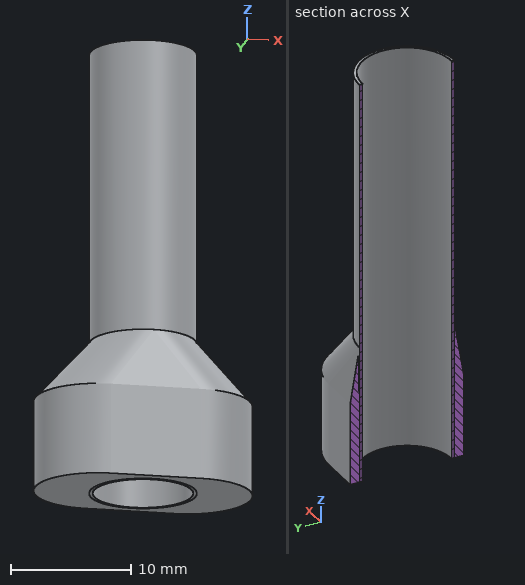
import cadquery as cq

total_length = 38.0
sleeve_outer_radius = 4.5
sleeve_wall = 0.3
sleeve_inner_radius = sleeve_outer_radius - sleeve_wall

collar_length = 18.4
collar_width = 10.7
skirt_height = 7.75
taper_height = 5.15
collar_height = skirt_height + taper_height
end_radius = collar_width / 2
end_offset = (collar_length - collar_width) / 2


def half_circle(side, center_x, radius, z):
    """Semicircle bulging toward +X (side = 1) or -X (side = -1)."""
    return cq.Edge.makeThreePointArc(
        cq.Vector(center_x, -radius, z),
        cq.Vector(center_x + side * radius, 0, z),
        cq.Vector(center_x, radius, z),
    )


def make_sleeve():
    """Plain tube running the full length, open at both ends."""
    return (
        cq.Workplane("XY")
        .circle(sleeve_outer_radius)
        .circle(sleeve_inner_radius)
        .extrude(total_length)
    )


def taper_end(side):
    """Ruled face from one rounded end of the skirt to half of the sleeve circle."""
    lower_arc = half_circle(side, side * end_offset, end_radius, skirt_height)
    upper_arc = half_circle(side, 0, sleeve_outer_radius, collar_height)
    return cq.Face.makeRuledSurface(lower_arc, upper_arc)


def taper_flat(side):
    """Triangular face from one flat side of the skirt to a point on the sleeve."""
    corners = [
        cq.Vector(-end_offset, side * end_radius, skirt_height),
        cq.Vector(end_offset, side * end_radius, skirt_height),
        cq.Vector(0, side * sleeve_outer_radius, collar_height),
    ]
    return cq.Face.makeFromWires(cq.Wire.makePolygon(corners, close=True))


def make_collar():
    """Oblong skirt and taper with a bore that fits around the sleeve."""
    skirt = cq.Workplane("XY").slot2D(collar_length, collar_width).extrude(skirt_height)

    taper_base = skirt.faces(">Z").val()
    top_rim = cq.Wire.assembleEdges(
        [half_circle(side, 0, sleeve_outer_radius, collar_height) for side in (-1, 1)]
    )
    taper_top = cq.Face.makeFromWires(top_rim)
    taper_sides = [make_face(side) for make_face in (taper_end, taper_flat) for side in (-1, 1)]
    taper = cq.Solid.makeSolid(cq.Shell.makeShell([taper_base, taper_top, *taper_sides]))

    bore = cq.Workplane("XY").circle(sleeve_outer_radius).extrude(collar_height)
    return skirt.union(cq.Workplane(taper)).cut(bore)


sleeve = make_sleeve()
collar = make_collar()

result = cq.Compound.makeCompound([sleeve.val(), *collar.solids().vals()])